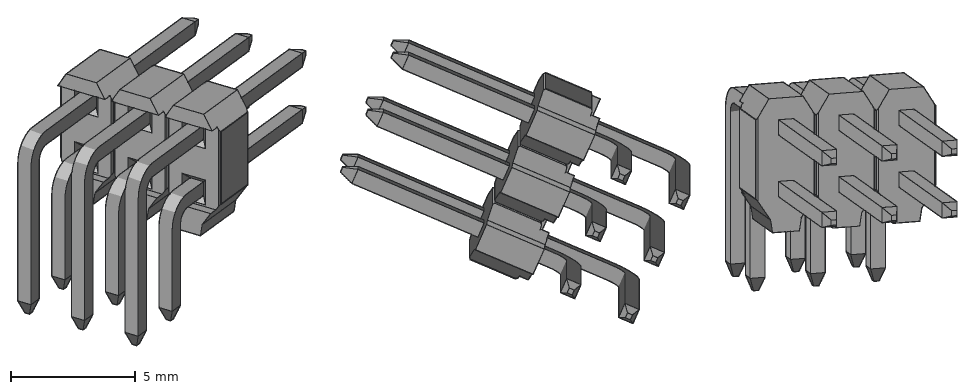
import cadquery as cq


columns = 3
body_width = 7.63
pitch = body_width / columns

pin_size = 0.63
tip_size = 0.22
tip_length = 0.58
bend_inner_radius = 0.51
bend_outer_radius = bend_inner_radius + pin_size
overall_length = 12.86
upper_pin_reach = 4.64
rear_end_y = overall_length - upper_pin_reach
foot_end_z = -5.09

body_depth = 2.13
lip_depth = 0.39
body_top_z = pitch + 1.21
body_bottom_z = -1.79
band_top_z = body_top_z - 0.84
band_bottom_z = body_top_z - 4.12
neck_z = body_top_z - 5.0
upper_lip_z = body_top_z - 0.64
lower_lip_z = body_top_z - 4.4
top_width = 1.44
cell_width = 2.48
neck_width = 1.3
bottom_width = 1.13
corner_chamfer = 0.06

pocket_size = 1.12
pocket_depth = (pocket_size - pin_size) / 2


def block(width, y_min, y_max, z_min, z_max):
    """Box centred on X = 0 between the given Y and Z limits."""
    return cq.Workplane("XY").box(
        width, y_max - y_min, z_max - z_min, centered=(True, False, False)
    ).translate((0, y_min, z_min))


def make_cell():
    """One body cell: sloped cap, chamfered middle band, narrowing base and front lips."""
    half_outline = [
        (top_width / 2, body_top_z),
        (cell_width / 2, band_top_z),
        (cell_width / 2, band_bottom_z),
        (neck_width / 2, neck_z),
        (bottom_width / 2, body_bottom_z),
    ]
    mirrored_outline = [(-x, z) for x, z in reversed(half_outline)]
    cell = (
        cq.Workplane("XZ", origin=(0, body_depth, 0))
        .polyline(half_outline + mirrored_outline)
        .close()
        .extrude(body_depth + lip_depth)
    )
    cell = cell.cut(block(pitch, -lip_depth, 0, lower_lip_z, upper_lip_z))
    band_corners = "(|Z and >X) or (|Z and <X)"
    cell = cell.edges(band_corners).chamfer(corner_chamfer)
    web = block(pitch, corner_chamfer, body_depth - corner_chamfer, band_bottom_z, band_top_z)
    return cell.union(web)


def make_pocket(row_z):
    """Square pocket that narrows from the front face down to the pin."""
    return (
        cq.Workplane("XZ", origin=(0, 0, row_z))
        .rect(pocket_size, pocket_size)
        .workplane(offset=-pocket_depth)
        .rect(pin_size, pin_size)
        .loft(ruled=True)
    )


def make_tip(base_plane):
    """Square taper from the pin section, pointing along the normal of the base plane."""
    return (
        cq.Workplane(base_plane)
        .rect(pin_size, pin_size)
        .workplane(offset=tip_length)
        .rect(tip_size, tip_size)
        .loft(ruled=True)
    )


def make_pin(row_z):
    """L-shaped pin; the upper row reaches further forward by its height above the lower row."""
    leg_y = pitch - row_z - upper_pin_reach + pin_size / 2
    outer_y = leg_y - pin_size / 2
    inner_y = leg_y + pin_size / 2
    top_z = row_z + pin_size / 2
    under_z = row_z - pin_size / 2
    rear_y = rear_end_y - tip_length
    foot_z = foot_end_z + tip_length
    bend_y = outer_y + bend_outer_radius
    bend_z = top_z - bend_outer_radius

    bar = (
        cq.Workplane("YZ")
        .moveTo(rear_y, top_z)
        .lineTo(bend_y, top_z)
        .radiusArc((outer_y, bend_z), -bend_outer_radius)
        .lineTo(outer_y, foot_z)
        .lineTo(inner_y, foot_z)
        .lineTo(inner_y, bend_z)
        .radiusArc((bend_y, under_z), bend_inner_radius)
        .lineTo(rear_y, under_z)
        .close()
        .extrude(pin_size / 2, both=True)
    )
    rear_plane = cq.Plane(origin=(0, rear_y, row_z), xDir=(1, 0, 0), normal=(0, 1, 0))
    foot_plane = cq.Plane(origin=(0, leg_y, foot_z), xDir=(1, 0, 0), normal=(0, 0, -1))
    return bar.union(make_tip(rear_plane)).union(make_tip(foot_plane))


rows_z = (0, pitch)
column = make_cell()
for row_z in rows_z:
    column = column.cut(make_pocket(row_z)).union(make_pin(row_z))

result = cq.Workplane("XY")
for index in range(columns):
    column_x = (index - (columns - 1) / 2) * pitch
    result = result.union(column.translate((column_x, 0, 0)))